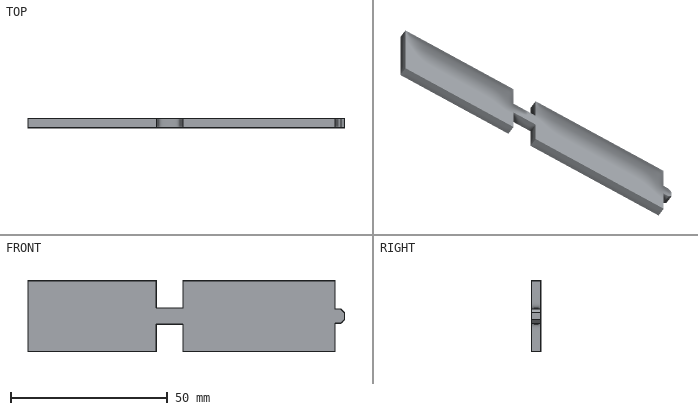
import cadquery as cq

total_length = 101.0
thickness = 3.0
plate_height = 22.6

left_plate_length = 41.0
neck_length = 8.4
tab_length = 3.0
right_plate_length = total_length - left_plate_length - neck_length - tab_length

neck_height = 5.3
tab_height = 4.6
tab_chamfer = 1.2


def bar(start_x, length, height):
    """Flat bar starting at start_x, centred on Y and Z."""
    return (
        cq.Workplane("XY")
        .box(length, thickness, height, centered=(False, True, True))
        .translate((start_x, 0, 0))
    )


neck_start = left_plate_length
right_plate_start = neck_start + neck_length
tab_start = right_plate_start + right_plate_length

left_plate = bar(0, left_plate_length, plate_height)
neck = bar(neck_start, neck_length, neck_height)
right_plate = bar(right_plate_start, right_plate_length, plate_height)

tab = bar(tab_start, tab_length, tab_height).faces(">X").edges("|Y").chamfer(tab_chamfer)

result = left_plate.union(neck).union(right_plate).union(tab)